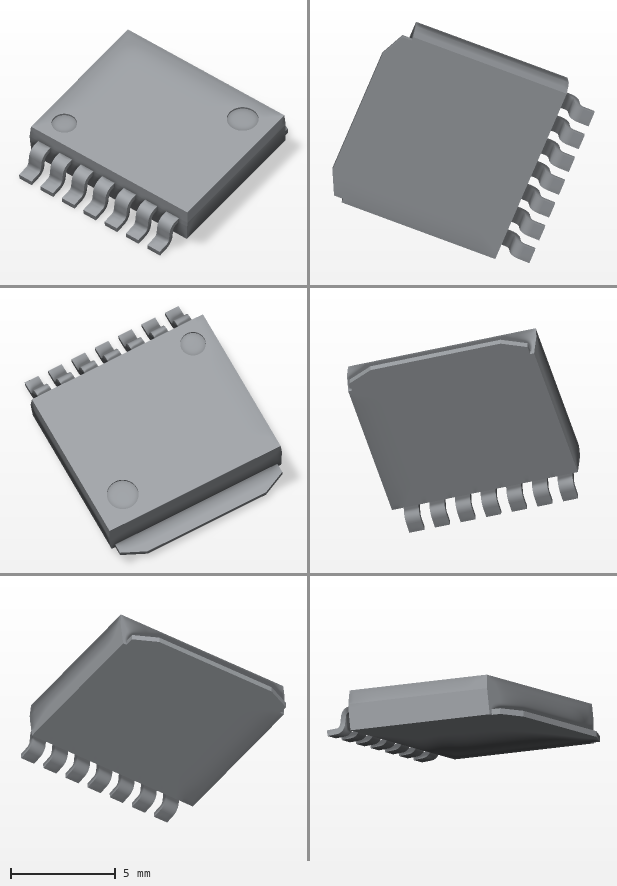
import math

import cadquery as cq

BODY_WIDTH = 9.39
OVERALL_LENGTH = 10.54
OVERALL_HEIGHT = 1.99
FOOT_STANDOFF = 0.055

SHEET_THICKNESS = 0.28

BODY_HEIGHT = OVERALL_HEIGHT - FOOT_STANDOFF
PARTING_Z = 1.265
DRAFT_SLOPE = math.tan(math.radians(4))
LEAD_REACH = 1.535
TAB_REACH = 1.03

TAB_WIDTH = 8.82
TAB_CORNER_X = 1.19
TAB_CORNER_Y = 0.56

LEAD_COUNT = 7
LEAD_PITCH = 1.27
LEAD_WIDTH = 0.74
SHANK_ANGLE = 82
FOOT_ANGLE = 4
BEND_RADIUS = 0.21
FOOT_LENGTH = 0.55

EMBED_DEPTH = 0.5

MARKS = [(3.19, 2.73, 1.52), (-3.5, -2.56, 1.22)]
MARK_DEPTH = 0.1

TOP = 1
BELOW = -1

TIP_Y = -OVERALL_LENGTH / 2
TAB_END_Y = OVERALL_LENGTH / 2
FRONT_Y = TIP_Y + LEAD_REACH
REAR_Y = TAB_END_Y - TAB_REACH


def make_body():
    """Drafted block: a side profile (YZ) intersected with an end profile (XZ)."""
    half_width = BODY_WIDTH / 2
    band_bottom = PARTING_Z - SHEET_THICKNESS
    top_inset = (BODY_HEIGHT - PARTING_Z) * DRAFT_SLOPE

    side_profile = (
        cq.Workplane("YZ")
        .moveTo(REAR_Y, 0)
        .lineTo(REAR_Y - BODY_HEIGHT * DRAFT_SLOPE, BODY_HEIGHT)
        .lineTo(FRONT_Y + top_inset, BODY_HEIGHT)
        .lineTo(FRONT_Y, PARTING_Z)
        .lineTo(FRONT_Y, band_bottom)
        .lineTo(FRONT_Y + band_bottom * DRAFT_SLOPE, 0)
        .close()
        .extrude(half_width, both=True)
    )
    bottom_half = half_width - PARTING_Z * DRAFT_SLOPE
    top_half = half_width - top_inset
    end_profile = (
        cq.Workplane("XZ")
        .moveTo(-bottom_half, 0)
        .lineTo(bottom_half, 0)
        .lineTo(half_width, PARTING_Z)
        .lineTo(top_half, BODY_HEIGHT)
        .lineTo(-top_half, BODY_HEIGHT)
        .lineTo(-half_width, PARTING_Z)
        .close()
        .extrude(OVERALL_LENGTH, both=True)
    )
    return side_profile.intersect(end_profile)


def make_tab():
    """Flat tab at the rear, flush with the underside, with two clipped corners."""
    half_width = TAB_WIDTH / 2
    root_y = REAR_Y - EMBED_DEPTH
    return (
        cq.Workplane("XY")
        .moveTo(-half_width, root_y)
        .lineTo(half_width, root_y)
        .lineTo(half_width, TAB_END_Y - TAB_CORNER_Y)
        .lineTo(half_width - TAB_CORNER_X, TAB_END_Y)
        .lineTo(TAB_CORNER_X - half_width, TAB_END_Y)
        .lineTo(-half_width, TAB_END_Y - TAB_CORNER_Y)
        .close()
        .extrude(SHEET_THICKNESS)
    )


def on_bend(center, radius, angle, side):
    """Point (y, z) at radius from center, square to a lead dipping by angle, on the TOP or BELOW side."""
    tilt = math.radians(angle)
    y = center[0] - side * radius * math.sin(tilt)
    z = center[1] + side * radius * math.cos(tilt)
    return (y, z)


def along(point, length, angle):
    """Move a (y, z) point outward toward -Y, dipping by angle."""
    tilt = math.radians(angle)
    return (point[0] - length * math.cos(tilt), point[1] - length * math.sin(tilt))


def make_lead():
    """One gull-wing lead, centred on x = 0: level root, upper bend, steep shank, lower bend, foot."""
    inner = BEND_RADIUS
    outer = BEND_RADIUS + SHEET_THICKNESS
    bend_middle = (SHANK_ANGLE + FOOT_ANGLE) / 2
    foot_tilt = math.radians(FOOT_ANGLE)

    tip_bottom = (TIP_Y + SHEET_THICKNESS * math.sin(foot_tilt), -FOOT_STANDOFF)
    tip_top = (TIP_Y, tip_bottom[1] + SHEET_THICKNESS * math.cos(foot_tilt))

    foot_start = along(tip_top, -FOOT_LENGTH, FOOT_ANGLE)
    lower_center = on_bend(foot_start, inner, FOOT_ANGLE, TOP)
    shank_end = on_bend(lower_center, inner, SHANK_ANGLE, BELOW)

    upper_center_z = PARTING_Z - outer
    shank_start_z = on_bend((0, upper_center_z), outer, SHANK_ANGLE, TOP)[1]
    shank_length = (shank_start_z - shank_end[1]) / math.sin(math.radians(SHANK_ANGLE))
    shank_start = along(shank_end, -shank_length, SHANK_ANGLE)
    upper_center = on_bend(shank_start, outer, SHANK_ANGLE, BELOW)

    root_y = FRONT_Y + EMBED_DEPTH
    profile = (
        cq.Workplane("YZ")
        .moveTo(root_y, PARTING_Z)
        .lineTo(*on_bend(upper_center, outer, 0, TOP))
        .threePointArc(on_bend(upper_center, outer, SHANK_ANGLE / 2, TOP), shank_start)
        .lineTo(*shank_end)
        .threePointArc(on_bend(lower_center, inner, bend_middle, BELOW), foot_start)
        .lineTo(*tip_top)
        .lineTo(*tip_bottom)
        .lineTo(*on_bend(lower_center, outer, FOOT_ANGLE, BELOW))
        .threePointArc(
            on_bend(lower_center, outer, bend_middle, BELOW),
            on_bend(lower_center, outer, SHANK_ANGLE, BELOW),
        )
        .lineTo(*on_bend(upper_center, inner, SHANK_ANGLE, TOP))
        .threePointArc(
            on_bend(upper_center, inner, SHANK_ANGLE / 2, TOP),
            on_bend(upper_center, inner, 0, TOP),
        )
        .lineTo(root_y, PARTING_Z - SHEET_THICKNESS)
        .close()
    )
    return profile.extrude(LEAD_WIDTH / 2, both=True)


def make_mark(x, y, diameter):
    """Shallow round recess cutter, reaching down from the top face."""
    return (
        cq.Workplane("XY", origin=(x, y, BODY_HEIGHT - MARK_DEPTH))
        .circle(diameter / 2)
        .extrude(MARK_DEPTH)
    )


result = make_body().union(make_tab())

lead = make_lead()
first_lead_x = -(LEAD_COUNT - 1) * LEAD_PITCH / 2
for index in range(LEAD_COUNT):
    result = result.union(lead.translate((first_lead_x + index * LEAD_PITCH, 0, 0)))

for mark_x, mark_y, mark_diameter in MARKS:
    result = result.cut(make_mark(mark_x, mark_y, mark_diameter))